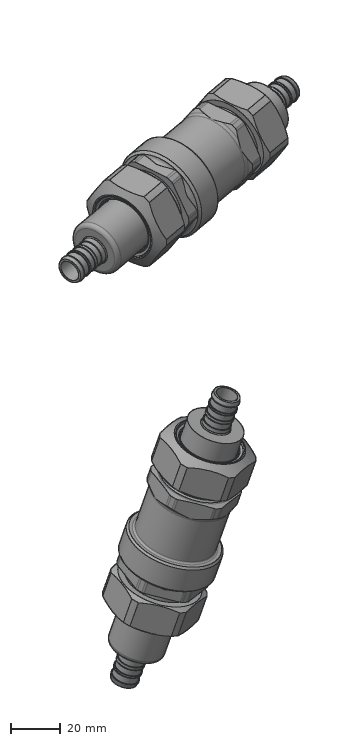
import cadquery as cq
import math


axis_start = (0, 0, 0)
axis_end = (0, 1, 0)

total_length = 146.6
hex_sides = 6
back_y = total_length / 2

bore_radius = 9.1 / 2
barb_radius = 11.1 / 2
rib_radius = 12.0 / 2
collar_radius = 24.0 / 2
ribs = [(5.4, 6.5), (9.4, 10.8)]
tip_taper_length = 1.6
tip_rib_length = 2.2
root_rib_start = 13.8
root_flare = 0.5
back_barb_length = 16.0
front_barb_length = 16.7
front_collar_round = 1.9

nut_length = 16.1
nut_flats = 36.8
nut_corner_radius = 20.4
nut_face_radius = 30.3 / 2
nut_outer_chamfer_length = 3
nut_inner_face_radius = 17.9
nut_inner_chamfer_length = 1.2
nut_mouth_radius = 28.3 / 2
nut_mouth_chamfer = 0.5
nut_funnel_radius = 26.1 / 2
nut_funnel_depth = 0.9
nut_lip_radius = 25.0 / 2
nut_lip_length = 4.4
back_nut_y = 49.1
front_nut_y = -38.1

neck_radius = 29.9 / 2
neck_chamfer = 0.7
hex_flats = 34.7
hex_corner_radius = 19.2
barrel_radius = 17.3
back_hex_end = 29.8
back_hex_face_radius = 16.4
back_hex_face_slope = 0.5
back_hex_start = 24.0
cone_angle = math.pi / 4
hex_edge_round = 2.2
hex_blend_radius = 2.0
ring_back = -0.1
ring_front = -11.9
ring_radius = 20.7
ring_crown = 0.07
ring_edge_radius = ring_radius - ring_crown
ring_edge_chamfer = 0.9
ring_base_round = 0.9
ring_cone_end_radius = 19.5
front_hex_end = -18.8
socket_depth = 5.9
body_back_end = back_nut_y - nut_lip_length
body_front_end = front_nut_y + nut_lip_length


def turned(points):
    return cq.Workplane("XY").polyline(points).close().revolve(360, axis_start, axis_end)


def disc(radius, y_low, y_high):
    return turned([(0, y_low), (radius, y_low), (radius, y_high), (0, y_high)])


def hexagon(flats, y_low, y_high):
    corner_to_corner = flats / math.cos(math.pi / hex_sides)
    prism = cq.Workplane("XZ").polygon(hex_sides, corner_to_corner).extrude(y_low - y_high)
    return prism.translate((0, y_low, 0))


def mirrored_to_front(shape):
    return shape.mirror("XZ")


def make_insert(barb_length, inner_end, collar_round):
    """Insert with its hose end at the back; inner_end is the y of its buried end."""
    collar_end = back_y - barb_length
    collar = disc(collar_radius, inner_end, collar_end)
    if collar_round:
        collar = collar.faces(">Y").edges().fillet(collar_round)
    insert = collar.union(disc(barb_radius, inner_end, back_y))
    for start, end in ribs:
        insert = insert.union(disc(rib_radius, back_y - end, back_y - start))
    tip_rib = turned([
        (0, back_y - tip_rib_length),
        (rib_radius, back_y - tip_rib_length),
        (rib_radius, back_y - tip_taper_length),
        (barb_radius, back_y),
        (0, back_y),
    ])
    root_rib = turned([
        (0, collar_end),
        (rib_radius + root_flare, collar_end),
        (rib_radius, collar_end + root_flare),
        (rib_radius, back_y - root_rib_start),
        (0, back_y - root_rib_start),
    ])
    insert = insert.union(tip_rib).union(root_rib)
    return insert.cut(disc(bore_radius, inner_end, back_y))


def make_nut(outer_y):
    """Nut with its chamfered outer face toward the back, at y = outer_y."""
    inner_y = outer_y - nut_length
    envelope = turned([
        (0, inner_y),
        (nut_inner_face_radius, inner_y),
        (nut_corner_radius, inner_y + nut_inner_chamfer_length),
        (nut_corner_radius, outer_y - nut_outer_chamfer_length),
        (nut_face_radius, outer_y),
        (0, outer_y),
    ])
    opening = turned([
        (0, inner_y),
        (neck_radius, inner_y),
        (neck_radius, outer_y - nut_lip_length),
        (nut_lip_radius, outer_y - nut_lip_length),
        (nut_lip_radius, outer_y - nut_funnel_depth),
        (nut_funnel_radius, outer_y - nut_funnel_depth),
        (nut_mouth_radius, outer_y - nut_mouth_chamfer),
        (nut_mouth_radius + nut_mouth_chamfer, outer_y),
        (0, outer_y),
    ])
    return hexagon(nut_flats, inner_y, outer_y).intersect(envelope).cut(opening)


def rounded_hexagon(y_low, y_high):
    """Body hexagon with its corners turned down and the resulting long edges rounded."""
    prism = hexagon(hex_flats, y_low, y_high).intersect(disc(hex_corner_radius, y_low, y_high))
    return prism.edges("|Y").fillet(hex_edge_round)


def make_back_hex():
    """Hexagon beside the back nut; a 45 degree cone and a hollow blend lead to the barrel."""
    cone_meets_barrel = back_hex_start - (hex_corner_radius - barrel_radius)
    blend_setback = hex_blend_radius * math.tan(cone_angle / 2)
    blend_rise = blend_setback * math.sin(cone_angle)
    blend_end = cone_meets_barrel - blend_setback
    blend_start = cone_meets_barrel + blend_rise
    envelope = (
        cq.Workplane("XY")
        .moveTo(0, blend_end)
        .lineTo(barrel_radius, blend_end)
        .radiusArc((barrel_radius + blend_rise, blend_start), hex_blend_radius)
        .lineTo(hex_corner_radius, back_hex_start)
        .lineTo(hex_corner_radius, back_hex_end - back_hex_face_slope)
        .lineTo(back_hex_face_radius, back_hex_end)
        .lineTo(0, back_hex_end)
        .close()
        .revolve(360, axis_start, axis_end)
    )
    return rounded_hexagon(blend_end, back_hex_end).intersect(envelope)


def make_ring():
    """Crowned grip ring with a 45 degree front cone, a hollow blend and a small round at its back."""
    cone_end = ring_front - (ring_edge_radius - ring_cone_end_radius)
    front_blend = ring_cone_end_radius - barrel_radius
    return (
        cq.Workplane("XY")
        .moveTo(0, cone_end - front_blend)
        .lineTo(barrel_radius, cone_end - front_blend)
        .radiusArc((ring_cone_end_radius, cone_end), front_blend)
        .lineTo(ring_edge_radius, ring_front)
        .threePointArc((ring_radius, (ring_front + ring_back) / 2),
                       (ring_edge_radius, ring_back - ring_edge_chamfer))
        .lineTo(ring_edge_radius - ring_edge_chamfer, ring_back)
        .lineTo(barrel_radius + ring_base_round, ring_back)
        .radiusArc((barrel_radius, ring_back + ring_base_round), ring_base_round)
        .lineTo(0, ring_back + ring_base_round)
        .close()
        .revolve(360, axis_start, axis_end)
    )


def make_body():
    necks = turned([
        (0, body_front_end),
        (neck_radius, body_front_end),
        (neck_radius, front_hex_end - neck_chamfer),
        (neck_radius + neck_chamfer, front_hex_end),
        (neck_radius + neck_chamfer, back_hex_end),
        (neck_radius, back_hex_end + neck_chamfer),
        (neck_radius, body_back_end),
        (0, body_back_end),
    ])
    barrel = disc(barrel_radius, ring_back, back_hex_start)
    front_hex = rounded_hexagon(front_hex_end, ring_front)
    body = necks.union(barrel).union(make_back_hex()).union(front_hex).union(make_ring())
    body = body.cut(disc(collar_radius, body_back_end - socket_depth, body_back_end))
    body = body.cut(disc(collar_radius, body_front_end, body_front_end + socket_depth))
    return body.cut(disc(bore_radius, body_front_end, body_back_end))


body = make_body()
back_insert = make_insert(back_barb_length, body_back_end - socket_depth, 0)
front_insert = mirrored_to_front(
    make_insert(front_barb_length, -(body_front_end + socket_depth), front_collar_round))
back_nut = make_nut(back_nut_y)
front_nut = mirrored_to_front(make_nut(-front_nut_y))

result = cq.Compound.makeCompound([
    body.val(),
    back_insert.val(),
    front_insert.val(),
    back_nut.val(),
    front_nut.val(),
])